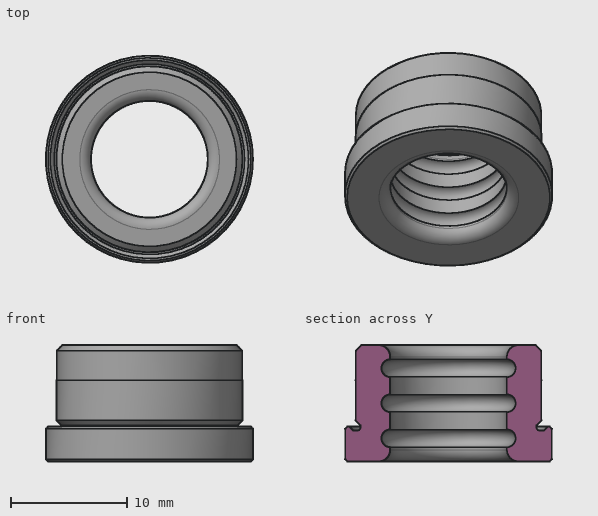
import cadquery as cq
import math

height = 10.0
flange_radius = 8.9
flange_height = 3.0
flange_chamfer = 0.2

body_radius = 8.0
upper_body_radius = 7.97
upper_body_start = 7.0
top_chamfer = 0.5

neck_radius = 7.56
undercut_start = 3.52
recess_radius = 8.5
recess_depth = 0.34
neck_fillet = 0.3

bore_radius = 5.0
mouth_fillet = 1.0
groove_radius = 0.75
groove_count = 3
groove_pitch = 3.0


def outer_solid():
    """Revolve the stepped body and its flange, including the relief groove."""
    neck_top = undercut_start - (body_radius - neck_radius)
    recess_floor = flange_height - recess_depth

    profile = (
        cq.Workplane("XZ")
        .moveTo(0, 0)
        .lineTo(flange_radius - flange_chamfer, 0)
        .lineTo(flange_radius, flange_chamfer)
        .lineTo(flange_radius, flange_height - flange_chamfer)
        .lineTo(flange_radius - flange_chamfer, flange_height)
        .lineTo(recess_radius, flange_height)
        .lineTo(recess_radius - recess_depth, recess_floor)
        .lineTo(neck_radius + neck_fillet, recess_floor)
        .tangentArcPoint((neck_radius, recess_floor + neck_fillet), relative=False)
        .lineTo(neck_radius, neck_top)
        .lineTo(body_radius, undercut_start)
        .lineTo(body_radius, upper_body_start)
        .lineTo(upper_body_radius, upper_body_start)
        .lineTo(upper_body_radius, height - top_chamfer)
        .lineTo(upper_body_radius - top_chamfer, height)
        .lineTo(0, height)
        .close()
    )
    return profile.revolve(360, (0, 0, 0), (0, 1, 0))


def bore_cutter():
    """Revolve the bore with rounded mouths and evenly spaced half-round grooves."""
    mouth_radius = bore_radius + mouth_fillet
    arc_inset = mouth_fillet * (1 - math.sqrt(0.5))
    profile = (
        cq.Workplane("XZ")
        .moveTo(0, 0)
        .lineTo(mouth_radius, 0)
        .threePointArc((bore_radius + arc_inset, arc_inset), (bore_radius, mouth_fillet))
    )
    for index in range(groove_count):
        center_z = height / 2 + (index - (groove_count - 1) / 2) * groove_pitch
        profile = profile.lineTo(bore_radius, center_z - groove_radius).threePointArc(
            (bore_radius + groove_radius, center_z),
            (bore_radius, center_z + groove_radius),
        )
    profile = (
        profile.lineTo(bore_radius, height - mouth_fillet)
        .threePointArc((bore_radius + arc_inset, height - arc_inset), (mouth_radius, height))
        .lineTo(0, height)
        .close()
    )
    return profile.revolve(360, (0, 0, 0), (0, 1, 0))


result = outer_solid().cut(bore_cutter())